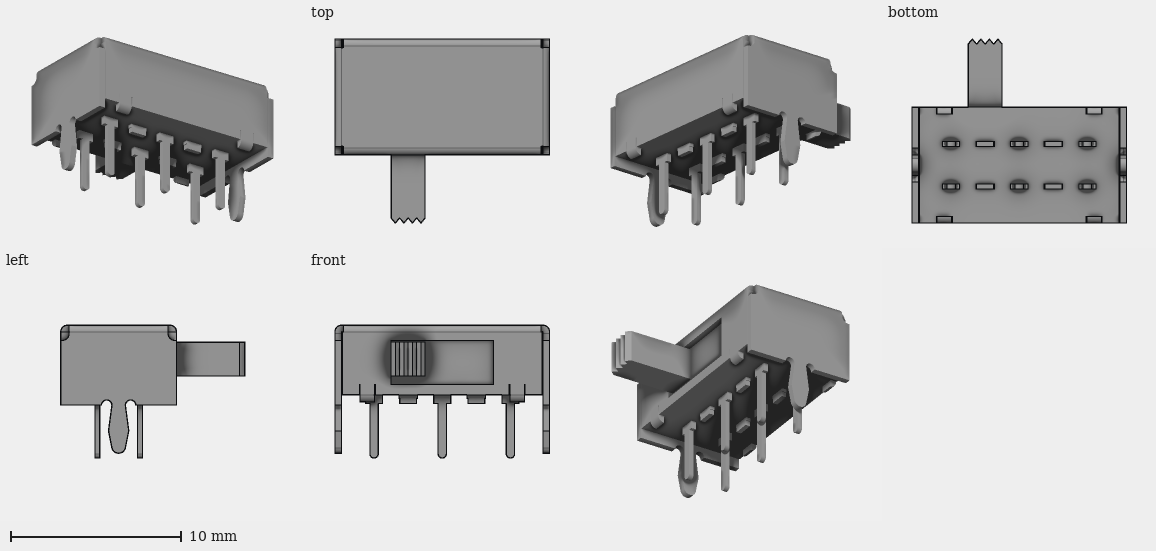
import cadquery as cq


sheet = 0.4
body_length = 12.6
body_width = 6.8
body_height = 4.7
front_wall_height = 4.1
end_gap = 0.05
corner_relief = 0.5
relief_radius = 0.4

top_z = body_height
wall_bottom_z = top_z - front_wall_height
half_length = body_length / 2
half_width = body_width / 2
end_plate_spacing = body_length - 2 * sheet
base_width = body_width - 2 * sheet
base_length = end_plate_spacing - 2 * end_gap

window_length = 6.0
window_height = 2.6
window_drop = 0.9
window_top_z = top_z - window_drop
slider_size = 2.0
slider_reach = 4.0
slider_clearance = 0.1
slider_top_z = window_top_z - slider_clearance
tooth_count = 4
tooth_height = 0.3

lug_offset = 4.4
lug_width = 0.85
inner_slit_width = 0.07
outer_slit_width = 0.04
slit_height = 0.6

pin_pitch = 4.0
pin_row_offset = 1.25
pin_width = 0.5
pin_thickness = 0.3
pin_bottom_z = -3.1
shoulder_width = 1.0
shoulder_height = 0.5
shoulder_bottom_z = wall_bottom_z - shoulder_height
pad_offset = 2.0
pad_width = 1.0
pad_flange_width = 1.1
pad_flange_height = 0.2

tab_notch_radius = 0.3
tab_neck_width = 0.8
tab_belly_width = 1.2
tab_belly_z = -1.5
tab_tip_width = 0.8
tab_tip_start_z = -2.5
tab_bottom_z = -2.82


def box(x_size, y_size, bottom_z, upper_z, x=0.0, y=0.0):
    """Upright box centred on (x, y) between two heights."""
    height = upper_z - bottom_z
    return cq.Workplane("XY").box(x_size, y_size, height, (True, True, False)).translate((x, y, bottom_z))


def make_front_rear_skin():
    """Top sheet folded down into the front and rear walls."""
    skin = box(base_length, body_width, wall_bottom_z, top_z)
    skin = skin.edges("|X and >Z").fillet(sheet)
    bend_length = body_length - 2 * corner_relief
    end_trim = (base_length - bend_length) / 2
    for side_x in (-1, 1):
        for side_y in (-1, 1):
            skin = skin.cut(
                box(
                    end_trim,
                    corner_relief,
                    top_z - sheet,
                    top_z,
                    side_x * (bend_length + end_trim) / 2,
                    side_y * (half_width - corner_relief / 2),
                )
            )
    return skin


def make_end_skin():
    """Top sheet folded down into the two end plates."""
    skin = box(body_length, body_width, 0, top_z)
    skin = skin.edges("|Y and >Z").fillet(sheet)
    skin = skin.cut(box(end_plate_spacing, body_width, 0, top_z - sheet))
    relief_depth = sheet + corner_relief
    for side in (-1, 1):
        relief = box(
            body_length,
            corner_relief,
            top_z - relief_depth,
            top_z,
            y=side * (half_width - corner_relief / 2),
        )
        inner_edge = "<Y" if side > 0 else ">Y"
        relief = relief.edges("|X and <Z").edges(inner_edge).fillet(relief_radius)
        skin = skin.cut(relief)
    return skin


def cut_window(body):
    """Rectangular opening through the front wall."""
    return body.cut(
        box(window_length, sheet, window_top_z - window_height, window_top_z, y=sheet / 2 - half_width)
    )


def make_slider():
    """Square knob at the left end of the window with a toothed front face."""
    left_x = -window_length / 2
    tip_y = -half_width - slider_reach
    valley_y = tip_y + tooth_height
    tooth_pitch = slider_size / tooth_count
    outline = [(left_x, sheet - half_width), (left_x, valley_y)]
    for tooth in range(tooth_count):
        start_x = left_x + tooth * tooth_pitch
        outline.append((start_x + tooth_pitch / 2, tip_y))
        outline.append((start_x + tooth_pitch, valley_y))
    outline.append((left_x + slider_size, sheet - half_width))
    bottom_z = slider_top_z - slider_size
    return cq.Workplane("XY").workplane(offset=bottom_z).polyline(outline).close().extrude(slider_size)


def add_lug(body, x, side):
    """Tongue between two slits, rolled inward below the wall edge."""
    wall_y = side * (half_width - sheet / 2)
    outward = 1 if x > 0 else -1
    for direction, slit_width in ((outward, outer_slit_width), (-outward, inner_slit_width)):
        slit_x = x + direction * (lug_width + slit_width) / 2
        body = body.cut(box(slit_width, sheet, wall_bottom_z, wall_bottom_z + slit_height, slit_x, wall_y))
    lug = box(lug_width, sheet, wall_bottom_z - sheet, wall_bottom_z, x, wall_y)
    roll = (
        cq.Workplane("YZ")
        .center(side * (half_width - sheet), wall_bottom_z)
        .circle(sheet)
        .extrude(lug_width)
        .translate((x - lug_width / 2, 0, 0))
    )
    return body.union(lug.intersect(roll))


def make_pin(x, y):
    """Flat contact pin with a wide shoulder and a round tip."""
    radius = pin_width / 2
    shoulder = box(shoulder_width, pin_thickness, shoulder_bottom_z, wall_bottom_z, x, y)
    shank = (
        cq.Workplane("XZ")
        .moveTo(x - radius, wall_bottom_z)
        .lineTo(x - radius, pin_bottom_z + radius)
        .threePointArc((x, pin_bottom_z), (x + radius, pin_bottom_z + radius))
        .lineTo(x + radius, wall_bottom_z)
        .close()
        .extrude(pin_thickness / 2, both=True)
        .translate((0, y, 0))
    )
    return shoulder.union(shank)


def make_pad(x, y):
    """Flat pad, slightly wider where it meets the base, level with the pin shoulders."""
    flange = box(pad_flange_width, pin_thickness, wall_bottom_z - pad_flange_height, wall_bottom_z, x, y)
    return flange.union(box(pad_width, pin_thickness, shoulder_bottom_z, wall_bottom_z, x, y))


def make_tab(side):
    """Snap-in tab hanging from an end plate."""
    neck = tab_neck_width / 2
    belly = tab_belly_width / 2
    tip = tab_tip_width / 2
    tab = (
        cq.Workplane("YZ")
        .moveTo(-neck, 0)
        .lineTo(-belly, tab_belly_z)
        .lineTo(-tip, tab_tip_start_z)
        .threePointArc((0, tab_bottom_z), (tip, tab_tip_start_z))
        .lineTo(belly, tab_belly_z)
        .lineTo(neck, 0)
        .close()
        .extrude(sheet / 2, both=True)
    )
    return tab.translate((side * (half_length - sheet / 2), 0, 0))


def cut_tab_notches(body):
    """Round reliefs beside the tab necks, through both end plates only."""
    notch_offset = tab_neck_width / 2 + tab_notch_radius
    for side in (-1, 1):
        notches = (
            cq.Workplane("YZ")
            .pushPoints([(-notch_offset, 0), (notch_offset, 0)])
            .circle(tab_notch_radius)
            .extrude(sheet / 2, both=True)
            .translate((side * (half_length - sheet / 2), 0, 0))
        )
        body = body.cut(notches)
    return body


def make_body():
    """Cover and base together, before the smaller features."""
    base = box(base_length, base_width, wall_bottom_z, top_z - sheet)
    return base.union(make_front_rear_skin()).union(make_end_skin())


body = cut_window(make_body())
body = cut_tab_notches(body)
for side in (-1, 1):
    body = body.union(make_tab(side))
    for lug_x in (-lug_offset, lug_offset):
        body = add_lug(body, lug_x, side)
    row_y = side * pin_row_offset
    for pin_x in (-pin_pitch, 0, pin_pitch):
        body = body.union(make_pin(pin_x, row_y))
    for pad_x in (-pad_offset, pad_offset):
        body = body.union(make_pad(pad_x, row_y))

result = body.union(make_slider()).clean()